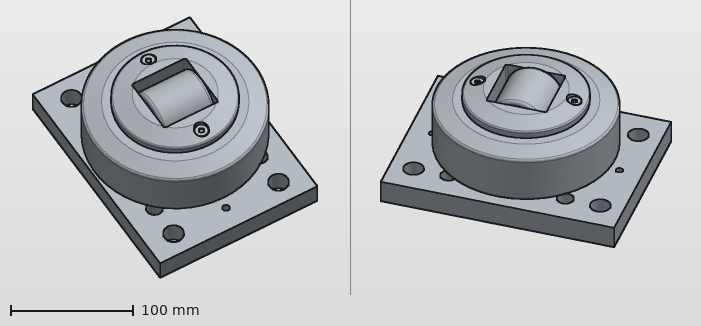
import cadquery as cq

plate_length = 200.0
plate_width = 150.0
plate_top = 20.0
hole_x = 80.0
hole_y = 50.0
mounting_hole_dia = 17.0
pin_hole_dia = 6.0
inner_hole_offset = 50.0
inner_hole_dia = 13.8

post_dia = 103.0
ring_dia = 153.0
ring_bottom = 28.5
ring_top = 73.5
ring_edge_radius = 2.5
ring_flat_dia = 120.0
ring_cone_base = 69.0

cap_dia = 104.5
cap_cone_base = 80.0
cap_edge_radius = 1.5
cap_flat_dia = 70.0
cap_top = 85.0

part_height = 89.0
roller_dia = 48.5
roller_length = 50.0
roller_edge = 3.0
roller_axis_z = part_height - roller_dia / 2
pocket_size = 51.5
pocket_corner_radius = 1.5

screw_x = 41.5
screw_recess_dia = 12.5
screw_recess_floor = 79.0
screw_head_dia = 11.5
screw_head_top = 81.8
socket_dia = 4.5
socket_depth = 1.5


def cylinder(diameter, bottom, top, points=((0, 0),)):
    """Upright cylinders between two heights at the given XY points."""
    return (
        cq.Workplane("XY")
        .workplane(offset=bottom)
        .pushPoints(list(points))
        .circle(diameter / 2)
        .extrude(top - bottom)
    )


def make_plate():
    def four_corners(x, y):
        return [(sx * x, sy * y) for sx in (-1, 1) for sy in (-1, 1)]

    plate = cq.Workplane("XY").box(
        plate_length, plate_width, plate_top, centered=(True, True, False)
    )
    plate = plate.cut(cylinder(mounting_hole_dia, 0, plate_top, four_corners(hole_x, hole_y)))
    plate = plate.cut(
        cylinder(inner_hole_dia, 0, plate_top, four_corners(inner_hole_offset, inner_hole_offset))
    )
    return plate.cut(cylinder(pin_hole_dia, 0, plate_top, [(-hole_x, 0), (hole_x, 0)]))


def domed_disc(diameter, bottom, cone_base, flat_dia, top):
    """Disc with a straight rim and a shallow cone rising to a flat top."""
    return (
        cq.Workplane("XZ")
        .moveTo(0, bottom)
        .lineTo(diameter / 2, bottom)
        .lineTo(diameter / 2, cone_base)
        .lineTo(flat_dia / 2, top)
        .lineTo(0, top)
        .close()
        .revolve(360, (0, 0, 0), (0, 1, 0))
    )


def make_wheel():
    """Post, wheel ring with rounded rims, and cap with a rounded upper rim."""
    post = cylinder(post_dia, plate_top, ring_bottom)
    ring = domed_disc(ring_dia, ring_bottom, ring_cone_base, ring_flat_dia, ring_top)
    ring = ring.faces("%CYLINDER").edges("%CIRCLE").fillet(ring_edge_radius)
    cap = domed_disc(cap_dia, ring_top, cap_cone_base, cap_flat_dia, cap_top)
    cap = cap.faces("%CYLINDER").edges("%CIRCLE").edges(">Z").fillet(cap_edge_radius)
    return post.union(ring).union(cap)


def make_pocket():
    """Square pocket reaching down to the roller axis."""
    return (
        cq.Workplane("XY")
        .workplane(offset=roller_axis_z)
        .rect(pocket_size, pocket_size)
        .extrude(cap_top - roller_axis_z)
        .edges("|Z")
        .fillet(pocket_corner_radius)
    )


def make_roller():
    return (
        cq.Workplane("XZ", origin=(0, roller_length / 2, roller_axis_z))
        .circle(roller_dia / 2)
        .extrude(roller_length)
        .edges("%CIRCLE")
        .fillet(roller_edge)
    )


def add_screws(body):
    """Round recesses with a socket-head screw standing in each."""
    points = [(-screw_x, 0), (screw_x, 0)]
    body = body.cut(cylinder(screw_recess_dia, screw_recess_floor, cap_top, points))
    body = body.union(cylinder(screw_head_dia, screw_recess_floor, screw_head_top, points))
    return body.cut(cylinder(socket_dia, screw_head_top - socket_depth, screw_head_top, points))


wheel = add_screws(make_wheel().cut(make_pocket()))
result = make_plate().union(wheel).union(make_roller())